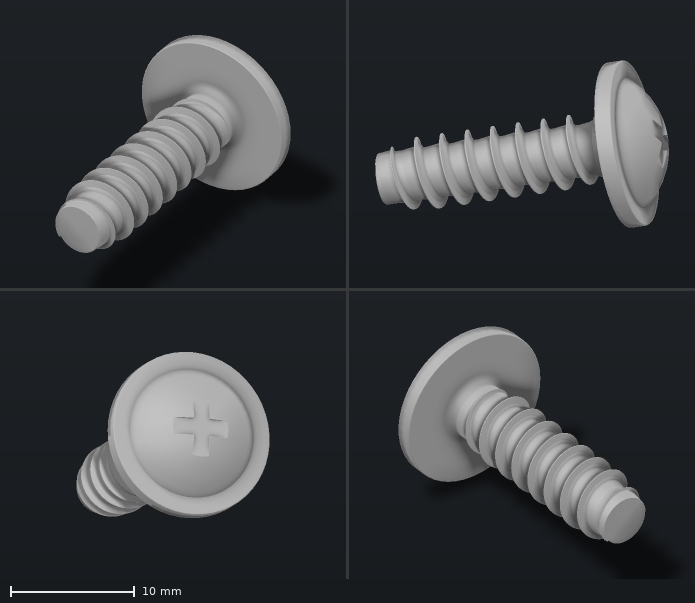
import cadquery as cq
import math


flange_radius = 6.75
flange_thickness = 1.4
flange_edge_fillet = 0.1
dome_base_radius = 5.32
dome_height = 2.55

recess_width = 1.4
recess_floor_drop = 0.43

shank_length = 20.0
core_radius = 2.09
neck_radius = 2.45
neck_fillet = 0.74
neck_end = 1.5
neck_blend_end = 2.9
tip_cone_height = 0.05
tip_chamfer = 0.08

pitch = 2.142
crest_radius = 3.0
crest_half_width = 0.04
flank_kink_radius = 2.475
flank_kink_offset = 0.175
ridge_radius = 2.24
upper_root_offset = 0.45
lower_root_offset = 0.33
ridge_end_offset = 1.34
thread_root_radius = 1.9
thread_overlap = 0.02

thread_start = -1.3
start_height = 0.35
full_height_start = -3.4
full_height_end = -16.9
thread_end = -19.7
end_height = 0.03
crest_y_at_plus_x = -3.43
points_per_turn = 18


def make_head_and_core():
    """Revolve the dome, flange, neck and plain core in one profile."""
    dome_top = flange_thickness + dome_height
    dome_sphere_radius = (dome_base_radius**2 + dome_height**2) / (2 * dome_height)
    mid_angle = math.asin(dome_base_radius / dome_sphere_radius) / 2
    dome_mid = (
        dome_sphere_radius * math.sin(mid_angle),
        dome_top - dome_sphere_radius * (1 - math.cos(mid_angle)),
    )
    neck_arc_inset = neck_fillet * (1 - math.cos(math.radians(45)))
    profile = (
        cq.Workplane("XY")
        .moveTo(0, -shank_length)
        .lineTo(core_radius - tip_chamfer, -shank_length + tip_cone_height)
        .lineTo(core_radius, -shank_length + tip_cone_height + tip_chamfer)
        .lineTo(core_radius, -neck_blend_end)
        .tangentArcPoint((neck_radius, -neck_end), relative=False)
        .lineTo(neck_radius, -neck_fillet)
        .threePointArc((neck_radius + neck_arc_inset, -neck_arc_inset), (neck_radius + neck_fillet, 0))
        .lineTo(flange_radius, 0)
        .lineTo(flange_radius, flange_thickness)
        .lineTo(dome_base_radius, flange_thickness)
        .threePointArc(dome_mid, (0, dome_top))
        .close()
    )
    body = profile.revolve(360, (0, 0, 0), (0, 1, 0))
    smallest_rim_radius = flange_radius - flange_edge_fillet
    rim_edges = [edge for edge in body.edges("%CIRCLE").vals() if edge.radius() > smallest_rim_radius]
    return body.newObject(rim_edges).fillet(flange_edge_fillet)


def cut_cross_recess(body):
    """Cut two crossing slots whose common floor runs out on the dome."""
    floor_y = flange_thickness + dome_height - recess_floor_drop
    for length_x, length_z in (
        (2 * flange_radius, recess_width),
        (recess_width, 2 * flange_radius),
    ):
        slot = cq.Workplane("XY").box(length_x, dome_height, length_z)
        body = body.cut(slot.translate((0, floor_y + dome_height / 2, 0)))
    return body


def thread_profile(height):
    """Closed (radius, axial offset) outline for a thread height between 0 and 1."""
    crest = ridge_radius + height * (crest_radius - ridge_radius)
    kink = ridge_radius + height * (flank_kink_radius - ridge_radius)
    ridge_slope = (ridge_end_offset - lower_root_offset) / (ridge_radius - core_radius)
    buried_ridge_end = -ridge_end_offset - ridge_slope * thread_overlap
    upper_root = height * upper_root_offset + thread_overlap
    return [
        (thread_root_radius, upper_root),
        (core_radius - thread_overlap, upper_root),
        (kink, height * flank_kink_offset),
        (crest, height * crest_half_width),
        (crest, -height * crest_half_width),
        (kink, -height * flank_kink_offset),
        (ridge_radius, -height * lower_root_offset),
        (core_radius - thread_overlap, buried_ridge_end),
        (thread_root_radius, buried_ridge_end),
    ]


def thread_section(crest_y, height):
    """Corner points of the thread profile where the crest is at crest_y."""
    angle = 2 * math.pi * (crest_y - crest_y_at_plus_x) / pitch
    return [
        cq.Vector(radius * math.cos(angle), crest_y + offset, -radius * math.sin(angle))
        for radius, offset in thread_profile(height)
    ]


def thread_sections(y_from, y_to, height_from, height_to):
    """Evenly spaced sections with linearly changing height."""
    steps = math.ceil(abs(y_to - y_from) / pitch * points_per_turn)
    sections = []
    for step in range(steps + 1):
        share = step / steps
        crest_y = y_from + share * (y_to - y_from)
        height = height_from + share * (height_to - height_from)
        sections.append(thread_section(crest_y, height))
    return sections


def make_thread():
    """Join the run-in, the full thread and the run-out into one solid."""
    stretches = [
        thread_sections(thread_start, full_height_start, start_height, 1),
        thread_sections(full_height_start, full_height_end, 1, 1),
        thread_sections(full_height_end, thread_end, 1, end_height),
    ]
    faces = []
    for sections in stretches:
        rails = [cq.Edge.makeSpline(list(corners)) for corners in zip(*sections)]
        for rail, next_rail in zip(rails, rails[1:] + rails[:1]):
            faces.append(cq.Face.makeRuledSurface(rail, next_rail))
    for end_section in (stretches[0][0], stretches[-1][-1]):
        outline = cq.Wire.makePolygon(end_section, close=True)
        faces.append(cq.Face.makeFromWires(outline))
    solid = cq.Solid.makeSolid(cq.Shell.makeShell(faces))
    return cq.Workplane(obj=solid.fix())


def trim_at_tip(thread):
    """Cut away the thread that runs past the rim of the tip."""
    trim_length = 2 * pitch
    trim = cq.Workplane("XZ", origin=(0, -shank_length + tip_cone_height, 0))
    return thread.cut(trim.circle(flange_radius).extrude(trim_length))


screw = cut_cross_recess(make_head_and_core())
result = screw.union(trim_at_tip(make_thread()))